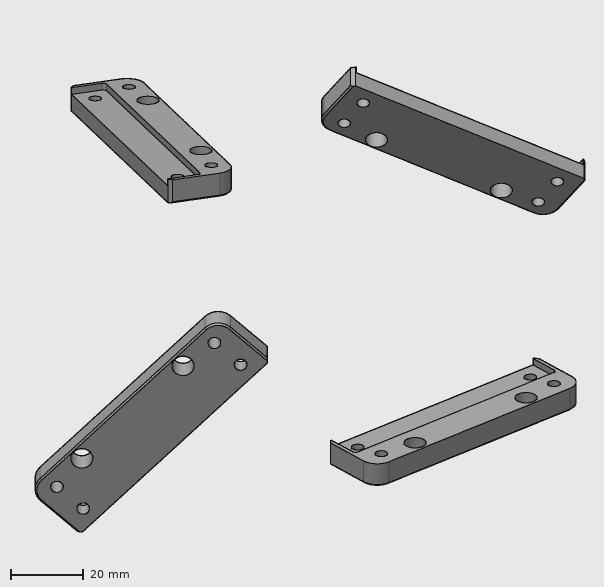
import cadquery as cq

LENGTH = 76.0
WIDTH = 20.0
THICKNESS = 7.0
BACK_CORNER_RADIUS = 5.0
FRONT_CORNER_CHAMFER = 1.0
BOTTOM_CHAMFER = 0.5

POCKET_SIDE_WALL = 1.25
POCKET_LENGTH = LENGTH - 2 * POCKET_SIDE_WALL
POCKET_WIDTH = WIDTH / 2
POCKET_DEPTH = 2.0
POCKET_CORNER_RADIUS = 1.0

SMALL_HOLE_DIAMETER = 3.5
SMALL_HOLE_SPACING_X = 63.0
SMALL_HOLE_SPACING_Y = 10.0

LARGE_HOLE_DIAMETER = 6.1
LARGE_HOLE_SPACING = 40.5
LARGE_HOLE_BACK_OFFSET = 3.75


def make_plate():
    """Plate with round back corners and a bottom chamfer on every side but the front."""
    plate = cq.Workplane("XY").box(LENGTH, WIDTH, THICKNESS, centered=(True, False, False))
    plate = plate.edges("|Z and >Y").fillet(BACK_CORNER_RADIUS)
    return plate.faces("<Z").edges("not <Y").chamfer(BOTTOM_CHAMFER)


def make_corner_cutter(side):
    """Triangular prism that bevels one front corner; side is -1 (left) or +1 (right)."""
    corner_x = side * LENGTH / 2
    return (
        cq.Workplane("XY")
        .moveTo(corner_x, 0)
        .lineTo(corner_x - side * FRONT_CORNER_CHAMFER, 0)
        .lineTo(corner_x, FRONT_CORNER_CHAMFER)
        .close()
        .extrude(THICKNESS)
    )


def make_pocket():
    """Volume removed from the top face by the open-fronted pocket."""
    return (
        cq.Workplane("XY")
        .workplane(offset=THICKNESS - POCKET_DEPTH)
        .box(POCKET_LENGTH, POCKET_WIDTH, POCKET_DEPTH, centered=(True, False, False))
        .edges("|Z and >Y")
        .fillet(POCKET_CORNER_RADIUS)
    )


def make_small_holes():
    """Four pins, full thickness, at the small hole positions."""
    return (
        cq.Workplane("XY")
        .center(0, WIDTH / 2)
        .rarray(SMALL_HOLE_SPACING_X, SMALL_HOLE_SPACING_Y, 2, 2)
        .circle(SMALL_HOLE_DIAMETER / 2)
        .extrude(THICKNESS)
    )


def make_large_holes():
    """Two pins, full thickness, at the large hole positions."""
    half_spacing = LARGE_HOLE_SPACING / 2
    hole_y = WIDTH - LARGE_HOLE_BACK_OFFSET
    return (
        cq.Workplane("XY")
        .pushPoints([(-half_spacing, hole_y), (half_spacing, hole_y)])
        .circle(LARGE_HOLE_DIAMETER / 2)
        .extrude(THICKNESS)
    )


result = make_plate()
for corner_side in (-1, 1):
    result = result.cut(make_corner_cutter(corner_side))
result = result.cut(make_pocket())
result = result.cut(make_small_holes())
result = result.cut(make_large_holes())